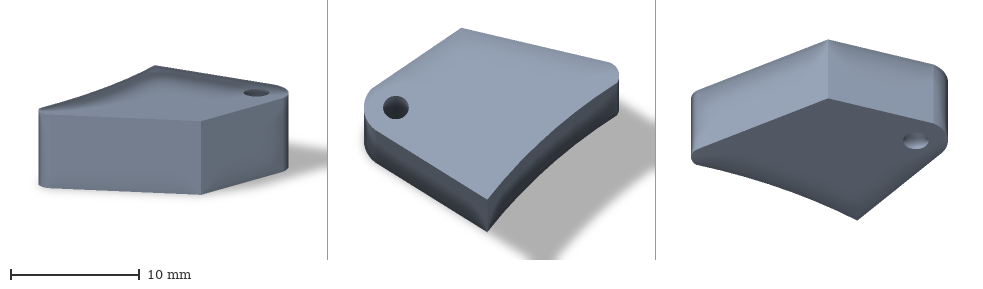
import cadquery as cq
import math

thickness = 6.0
hole_diameter = 2.0
pivot_radius = 2.5

upper_left = (-10.5, 1.5)
lower_right = (0.5, -8.5)

tip_left = (-11.8, -12.64)
tip_right = (-10.0, -13.5)
tip_radius = 1.2

concave_radius = 41.5


def arc_middle(start, end, radius):
    """Middle point of the minor arc that bulges to the right of start -> end."""
    dx = end[0] - start[0]
    dy = end[1] - start[1]
    chord = math.hypot(dx, dy)
    sagitta = radius - math.sqrt(radius**2 - (chord / 2) ** 2)
    middle_x = (start[0] + end[0]) / 2 + sagitta * dy / chord
    middle_y = (start[1] + end[1]) / 2 - sagitta * dx / chord
    return (middle_x, middle_y)


def make_plate():
    """Extruded outline, drawn clockwise from the upper left corner."""
    pivot_top = (0, pivot_radius)
    pivot_right = (pivot_radius, 0)
    pivot_middle = (pivot_radius * math.sqrt(0.5), pivot_radius * math.sqrt(0.5))
    tip_middle = arc_middle(tip_left, tip_right, tip_radius)
    concave_middle = arc_middle(tip_left, upper_left, concave_radius)
    return (
        cq.Workplane("XY")
        .moveTo(*upper_left)
        .lineTo(*pivot_top)
        .threePointArc(pivot_middle, pivot_right)
        .lineTo(*lower_right)
        .lineTo(*tip_right)
        .threePointArc(tip_middle, tip_left)
        .threePointArc(concave_middle, upper_left)
        .close()
        .extrude(thickness)
    )


def make_pivot_hole():
    """Cylinder that cuts the hole through the full thickness."""
    return cq.Workplane("XY").circle(hole_diameter / 2).extrude(thickness)


result = make_plate().cut(make_pivot_hole())